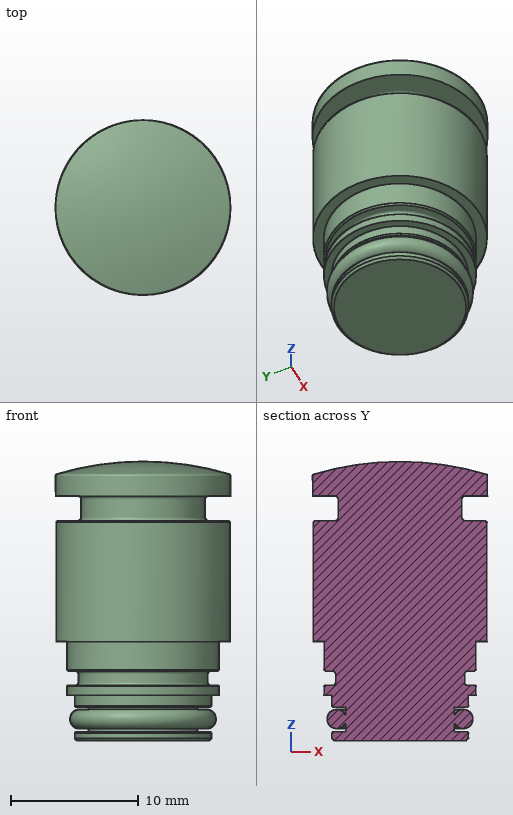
import cadquery as cq

total_height = 22.0

end_diameter = 10.8
gland_diameter = 8.6
collar_diameter = 12.0
groove_diameter = 10.2
body_diameter = 13.7
neck_diameter = 9.8
head_diameter = 13.8

end_flange_top = 0.73
land_bottom = 2.65
collar_bottom = 3.59
collar_top = 4.38
shoulder_bottom = 5.48
body_bottom = 7.8
body_top = 17.34
head_bottom = 19.27
dome_bottom = 20.97

ring_diameter = 11.5
ring_thickness = 1.55
ring_height = 1.72

end_chamfer = 0.2
small_chamfer = 0.1
collar_chamfer = 0.07
edge_chamfer = 0.13
groove_fillet = 0.22
neck_fillet = 0.26
rim_fillet = 0.2


def cylinder(diameter, bottom, top):
    """Solid disc on the Z axis between two heights."""
    return cq.Workplane("XY").workplane(offset=bottom).circle(diameter / 2).extrude(top - bottom)


def waist(diameter, bottom, top, fillet):
    """Half profile of a neck with a fillet flaring into the face at each end, revolved about Z."""
    radius = diameter / 2
    flare = radius + fillet
    return (
        cq.Workplane("XZ")
        .moveTo(0, bottom)
        .lineTo(flare, bottom)
        .radiusArc((radius, bottom + fillet), fillet)
        .lineTo(radius, top - fillet)
        .radiusArc((flare, top), fillet)
        .lineTo(0, top)
        .close()
        .revolve(360, (0, 0, 0), (0, 1, 0))
    )


def domed_head():
    """Head with a rounded rim and a spherical crown."""
    radius = head_diameter / 2
    crown_height = total_height - dome_bottom
    sphere_radius = (radius**2 + crown_height**2) / (2 * crown_height)
    head = (
        cq.Workplane("XZ")
        .moveTo(0, head_bottom)
        .lineTo(radius, head_bottom)
        .lineTo(radius, dome_bottom)
        .radiusArc((0, total_height), -sphere_radius)
        .close()
        .revolve(360, (0, 0, 0), (0, 1, 0))
    )
    rim = head.faces("%CYLINDER").edges(">Z")
    return rim.fillet(rim_fillet)


def o_ring():
    """Round-section ring seated in the gland."""
    section_radius = ring_thickness / 2
    center_radius = ring_diameter / 2 - section_radius
    return (
        cq.Workplane("XZ")
        .moveTo(-center_radius, ring_height)
        .circle(section_radius)
        .revolve(360, (0, 0, 0), (0, 1, 0))
    )


end_flange = cylinder(end_diameter, 0, end_flange_top).faces("<Z").edges().chamfer(end_chamfer)
end_flange = end_flange.faces(">Z").edges().chamfer(small_chamfer)
gland = cylinder(gland_diameter, end_flange_top, land_bottom)
land = cylinder(end_diameter, land_bottom, collar_bottom).faces("<Z").edges().chamfer(small_chamfer)

collar = cylinder(collar_diameter, collar_bottom, collar_top).faces(">Z").edges().chamfer(collar_chamfer)
groove = waist(groove_diameter, collar_top, shoulder_bottom, groove_fillet)
shoulder = cylinder(collar_diameter, shoulder_bottom, body_bottom).faces("<Z").edges().chamfer(edge_chamfer)

body = cylinder(body_diameter, body_bottom, body_top).faces(">Z").edges().chamfer(edge_chamfer)
neck = waist(neck_diameter, body_top, head_bottom, neck_fillet)

result = end_flange
for section in (gland, land, collar, groove, shoulder, body, neck, domed_head(), o_ring()):
    result = result.union(section)